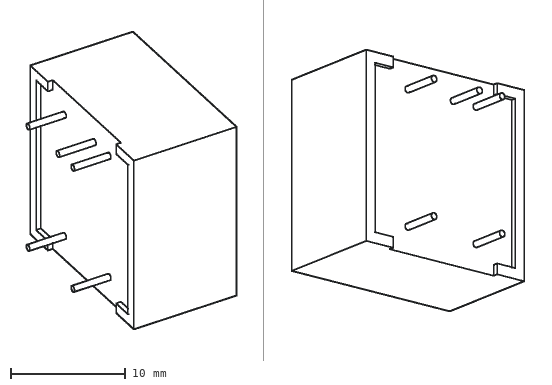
import cadquery as cq

body_side = 17.7
overall_depth = 13.72
body_depth = 10.5

rim_height = 0.5
rim_width = 1.01
foot_length = 3.05

pin_row_spacing = 12.7
pin_pitch = pin_row_spacing / 5
pin_diameter = 0.6
pin_grid_places = [(-1.5, 2.5), (0.5, 2.5), (1.5, 2.5), (-1.5, -2.5), (1.5, -2.5)]

rim_y = overall_depth - body_depth
floor_y = rim_y + rim_height


def box_along_y(width, height, front_y, back_y):
    """Box centred on the Y axis between two Y positions."""
    middle_y = (front_y + back_y) / 2
    return cq.Workplane("XY").box(width, back_y - front_y, height).translate((0, middle_y, 0))


def make_body():
    """Block with a shallow recess, open at the top and bottom between the corner feet."""
    block = box_along_y(body_side, body_side, rim_y, overall_depth)
    inner_side = body_side - 2 * rim_width
    recess = box_along_y(inner_side, inner_side, rim_y, floor_y)
    opening = box_along_y(body_side - 2 * foot_length, body_side, rim_y, floor_y)
    return block.cut(recess).cut(opening)


def make_pins():
    """Round pins from the pin tips at Y = 0 to the recess floor."""
    places = [(column * pin_pitch, row * pin_pitch) for column, row in pin_grid_places]
    return cq.Workplane("XZ").pushPoints(places).circle(pin_diameter / 2).extrude(-floor_y)


result = make_body().union(make_pins())